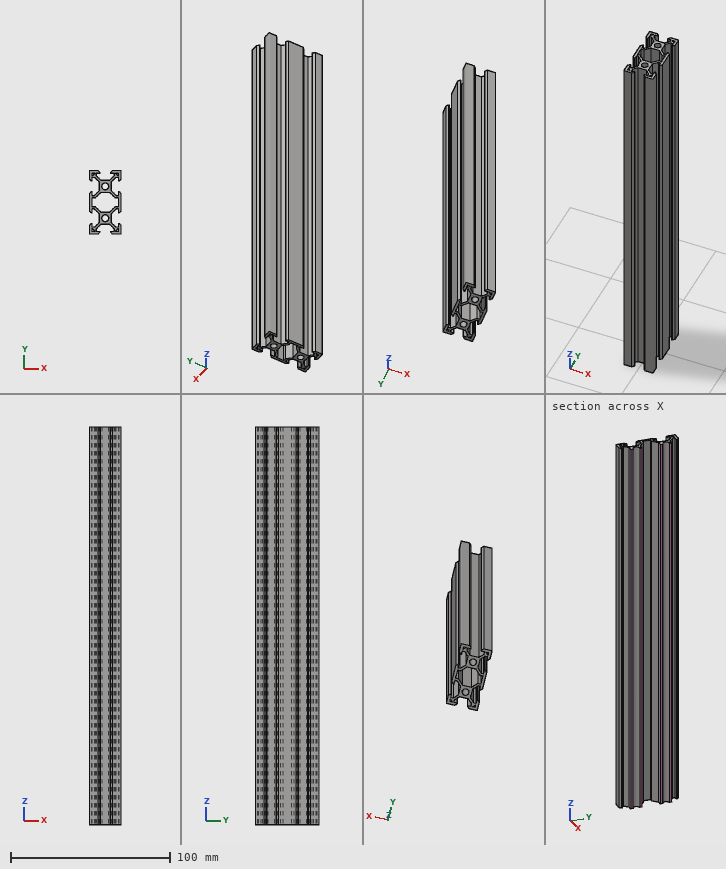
import cadquery as cq
import math

cell = 20.0
length = 250.0
corner_radius = 0.3

mouth_width = 9.16
throat_width = 6.5
cavity_width = 11.0
wall = 1.8
core_side = 7.8
web_thickness = 1.5

bore_diameter = 4.2
opening_side_height = 5.4
corner_hollow_leg = 1.64

rail_width = cell
rail_height = 2 * cell
half_cell = cell / 2

half_mouth = mouth_width / 2
half_throat = throat_width / 2
half_core = core_side / 2
cavity_top = half_cell - wall
throat_top = half_cell - (half_mouth - half_throat)
web_offset = web_thickness / math.sqrt(2)
slot_floor_half = half_core - web_offset

opening_side_half = opening_side_height / 2
corner_reach = cavity_width / 2
middle_reach = half_cell - opening_side_half - web_thickness


def prism(outline):
    """Full-length prism over a closed polygon in the XY plane."""
    return cq.Workplane("XY").polyline(outline).close().extrude(length)


def slot_flank(reach):
    """Right-hand flank of a slot opening toward +Y, from its floor to the outer face."""
    return [
        (slot_floor_half, half_core),
        (reach, reach + web_offset),
        (reach, cavity_top),
        (half_throat, cavity_top),
        (half_throat, throat_top),
        (half_mouth, half_cell),
    ]


def slot(center_y, angle, left_reach, right_reach):
    """V-slot of one cell, drawn opening toward +Y and turned by angle about the cell axis."""
    left_flank = [(-x, y) for x, y in reversed(slot_flank(left_reach))]
    cutter = prism(slot_flank(right_reach) + left_flank)
    return cutter.rotate((0, 0, 0), (0, 0, 1), angle).translate((0, center_y, 0))


def central_opening():
    """Twelve-sided passage between the two cores."""
    core_face = half_cell - half_core
    shoulder_x = half_cell - opening_side_half - web_offset
    upper_right = [
        (cavity_top, opening_side_half),
        (shoulder_x, opening_side_half),
        (slot_floor_half, core_face),
    ]
    lower_right = [(x, -y) for x, y in reversed(upper_right)]
    right_half = lower_right + upper_right
    left_half = [(-x, y) for x, y in reversed(right_half)]
    return prism(right_half + left_half)


def bore(center_y):
    """Round passage along the axis of a cell core."""
    return cq.Workplane("XY").center(0, center_y).circle(bore_diameter / 2).extrude(length)


def corner_hollow(side_x, side_y):
    """Triangular passage whose right angle sits one wall thickness inside an outer corner."""
    outer_x = rail_width / 2 - wall
    outer_y = rail_height / 2 - wall
    outline = [
        (side_x * outer_x, side_y * outer_y),
        (side_x * (outer_x - corner_hollow_leg), side_y * outer_y),
        (side_x * outer_x, side_y * (outer_y - corner_hollow_leg)),
    ]
    return prism(outline)


result = cq.Workplane("XY").rect(rail_width, rail_height).extrude(length)
result = result.edges("|Z").fillet(corner_radius)

lower_y = -half_cell
result = result.cut(slot(lower_y, 180, corner_reach, corner_reach))
result = result.cut(slot(lower_y, 90, corner_reach, middle_reach))
result = result.cut(slot(lower_y, -90, middle_reach, corner_reach))

upper_y = half_cell
result = result.cut(slot(upper_y, 0, corner_reach, corner_reach))
result = result.cut(slot(upper_y, 90, middle_reach, corner_reach))
result = result.cut(slot(upper_y, -90, corner_reach, middle_reach))

result = result.cut(central_opening())
for cell_y in (lower_y, upper_y):
    result = result.cut(bore(cell_y))
for side_x in (-1, 1):
    for side_y in (-1, 1):
        result = result.cut(corner_hollow(side_x, side_y))